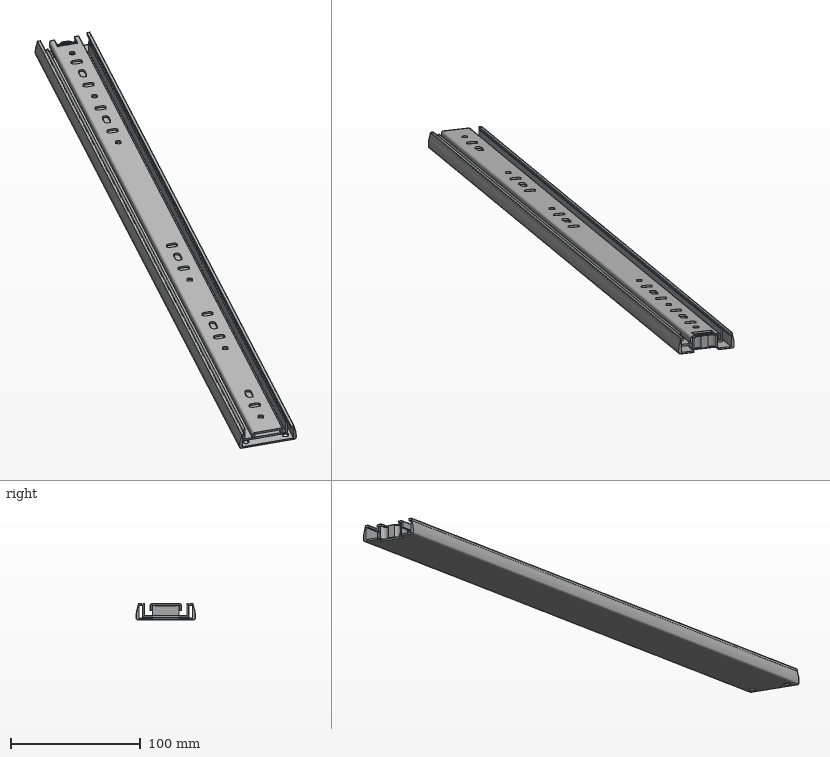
import cadquery as cq
import math

length = 550.0
width = 45.5
height = 12.5

outer_sheet = 1.3
outer_bottom_round = 1.5
bend_start_z = 4.0
bend_end_z = 9.0
bend_depth = 0.95
top_lean = 0.8
bend_end_y = width / 2 - bend_depth
outer_top_y = bend_end_y - top_lean
outer_inside = bend_end_y - outer_sheet
lip_half_gap = 18.5
lip_bottom = 11.0
end_notch_depth = 6.5
end_hole_x = 544.0
end_hole_y = 16.0
end_hole_diameter = 5.0

middle_sheet = 1.55
lip_clearance = 0.8
middle_half_width = lip_half_gap - lip_clearance
middle_bottom = 2.0
middle_start_x = 12.0
middle_end_x = 543.5
middle_top_round = 1.5

inner_sheet = 1.55
inner_half_width = 12.0
inner_bottom = 7.0
inner_start_x = 2.0
inner_top_round = 1.9
inner_flat_half_width = inner_half_width - inner_top_round
window_margin = 2.0
window_half_width = inner_flat_half_width - window_margin
window_end_x = 11.0

round_hole_diameter = 4.5
slot_width = 5.0
long_slot_length = 10.0
cross_slot_length = 9.0
hole_pitch = 16.0
first_hole_x = 23.0
full_group_xs = [83.0, 147.5, 339.5, 435.0]
last_group_x = 531.0

stop_front_x = 3.0
stop_clearance = 0.2
stop_half_width = inner_half_width - inner_sheet - stop_clearance
stop_top = height - inner_sheet
scallop_radius = 3.5
scallop_spacing = 11.5
scallop_centre_x = 3.0
tongue_front_x = 4.5
groove_width = 1.5
groove_pitch = 2 * groove_width
groove_depth = 0.5
groove_count = 2
first_groove_x = 6.5


def mirrored_profile(half, start_x, end_x):
    """Extrude along X a half section drawn in (Y, Z), together with its mirror image."""
    section = half.mirrorY().extrude(end_x - start_x)
    return section.translate((start_x, 0, 0))


def round_point(centre_y, centre_z, radius, degrees):
    """Point on a corner arc, with the angle measured from +Y towards +Z."""
    angle = math.radians(degrees)
    return (centre_y + radius * math.cos(angle), centre_z + radius * math.sin(angle))


def make_outer_rail():
    wall = width / 2
    bottom_y = wall - outer_bottom_round
    half = (
        cq.Workplane("YZ")
        .lineTo(bottom_y, 0)
        .threePointArc(
            round_point(bottom_y, outer_bottom_round, outer_bottom_round, -45),
            (wall, outer_bottom_round),
        )
        .lineTo(wall, bend_start_z)
        .tangentArcPoint((bend_end_y, bend_end_z), relative=False)
        .lineTo(outer_top_y, height)
        .lineTo(lip_half_gap, height)
        .lineTo(lip_half_gap, lip_bottom)
        .lineTo(outer_inside, lip_bottom)
        .lineTo(outer_inside, outer_sheet)
        .lineTo(0, outer_sheet)
    )
    rail = mirrored_profile(half, 0, length)
    notch = (
        cq.Workplane("XY")
        .box(2 * end_notch_depth, 2 * inner_flat_half_width, 2 * outer_sheet)
    )
    holes = (
        cq.Workplane("XY")
        .pushPoints([(end_hole_x, end_hole_y), (end_hole_x, -end_hole_y)])
        .circle(end_hole_diameter / 2)
        .extrude(outer_sheet)
    )
    return rail.cut(notch).cut(holes)


def make_middle_rail():
    inside = middle_half_width - middle_sheet
    top_y = middle_half_width - middle_top_round
    top_z = height - middle_top_round
    half = (
        cq.Workplane("YZ")
        .moveTo(0, middle_bottom)
        .lineTo(middle_half_width, middle_bottom)
        .lineTo(middle_half_width, top_z)
        .threePointArc(round_point(top_y, top_z, middle_top_round, 45), (top_y, height))
        .lineTo(inside, height)
        .lineTo(inside, middle_bottom + middle_sheet)
        .lineTo(0, middle_bottom + middle_sheet)
    )
    return mirrored_profile(half, middle_start_x, middle_end_x)


def mounting_holes():
    """Cutters for every mounting hole, standing through the inner rail's top."""
    group_xs = full_group_xs + [last_group_x]
    plane = cq.Workplane("XY").workplane(offset=height - inner_sheet)
    round_holes = [(x, 0) for x in [first_hole_x] + group_xs]
    long_slots = [(x - 2 * hole_pitch, 0) for x in group_xs]
    near_cross_slots = [(x - hole_pitch, 0) for x in group_xs]
    far_cross_slots = [(x - 3 * hole_pitch, 0) for x in full_group_xs]
    round_cutters = (
        plane.pushPoints(round_holes)
        .circle(round_hole_diameter / 2)
        .extrude(inner_sheet)
    )
    long_cutters = (
        plane.pushPoints(long_slots)
        .slot2D(long_slot_length, slot_width)
        .extrude(inner_sheet)
    )
    cross_cutters = (
        plane.pushPoints(near_cross_slots + far_cross_slots)
        .slot2D(cross_slot_length, slot_width, 90)
        .extrude(inner_sheet)
    )
    return round_cutters.union(long_cutters).union(cross_cutters)


def make_inner_rail():
    inside = inner_half_width - inner_sheet
    top_y = inner_flat_half_width
    top_z = height - inner_top_round
    half = (
        cq.Workplane("YZ")
        .moveTo(0, height)
        .lineTo(top_y, height)
        .threePointArc(
            round_point(top_y, top_z, inner_top_round, 45), (inner_half_width, top_z)
        )
        .lineTo(inner_half_width, inner_bottom)
        .lineTo(inside, inner_bottom)
        .lineTo(inside, height - inner_sheet)
        .lineTo(0, height - inner_sheet)
    )
    rail = mirrored_profile(half, inner_start_x, length)
    window = (
        cq.Workplane("XY")
        .box(2 * window_end_x, 2 * window_half_width, 2 * inner_sheet)
        .translate((0, 0, height))
    )
    return rail.cut(window).cut(mounting_holes())


def make_end_stop():
    stop_length = window_end_x - stop_front_x
    stop_height = stop_top - outer_sheet
    scallop_ys = [-scallop_spacing / 2, scallop_spacing / 2]
    block = (
        cq.Workplane("XY")
        .box(stop_length, 2 * stop_half_width, stop_height, centered=(False, True, False))
        .translate((stop_front_x, 0, outer_sheet))
    )
    scallops = (
        cq.Workplane("XY")
        .pushPoints([(scallop_centre_x, y) for y in scallop_ys])
        .circle(scallop_radius)
        .extrude(height)
    )
    tongue_setback = (
        cq.Workplane("XY")
        .box(2 * tongue_front_x, scallop_spacing, height, centered=(True, True, False))
    )
    block = block.cut(scallops).cut(tongue_setback)
    for index in range(groove_count):
        groove_x = first_groove_x + index * groove_pitch
        groove = (
            cq.Workplane("XY")
            .box(groove_width, 2 * window_half_width, 2 * groove_depth)
            .translate((groove_x, 0, stop_top))
        )
        block = block.cut(groove)
    return block


outer_rail = make_outer_rail()
middle_rail = make_middle_rail()
inner_rail = make_inner_rail()
end_stop = make_end_stop()
result = cq.Compound.makeCompound(
    [outer_rail.val(), middle_rail.val(), inner_rail.val(), end_stop.val()]
)